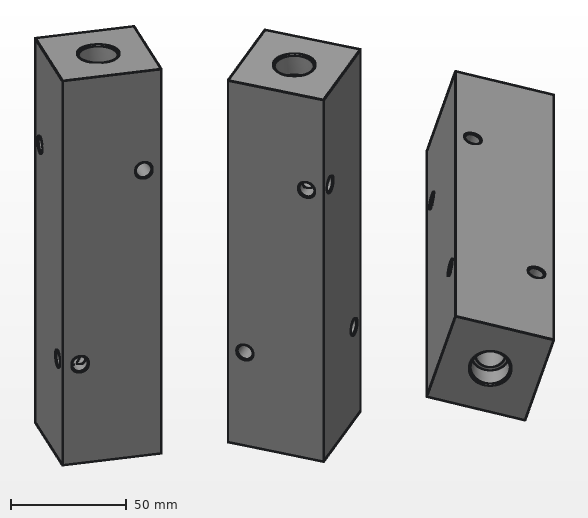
import cadquery as cq

LENGTH = 184.2
WIDTH = 44.4
EDGE_BREAK = 0.2

BORE_DIAMETER = 12.9
PORT_MOUTH_DIAMETER = 17.0
PORT_DEPTH = 10.1
PORT_TAPER = 1 / 16
PORT_CHAMFER = 0.7

HOLE_DIAMETER = 7.0
HOLE_CHAMFER = 0.46
HOLE_EDGE_DISTANCE = 8.0
HOLE_OFFSET = WIDTH / 2 - HOLE_EDGE_DISTANCE
HOLE_HEIGHT = 44.5


def turned(profile):
    """Solid of revolution about Z from a closed (radius, height) profile."""
    return cq.Workplane("XZ").polyline(profile).close().revolve(360, (0, 0), (0, 1))


def port_cutter():
    """Tapered port at the top end of the block, chamfered at its mouth."""
    top = LENGTH / 2
    floor = top - PORT_DEPTH
    mouth_radius = PORT_MOUTH_DIAMETER / 2
    throat_radius = mouth_radius - (PORT_DEPTH - PORT_CHAMFER) * PORT_TAPER / 2
    return turned([
        (0, floor),
        (throat_radius, floor),
        (mouth_radius, top - PORT_CHAMFER),
        (mouth_radius + PORT_CHAMFER, top),
        (0, top),
    ])


def cross_hole_cutter():
    """Hole along Z through the block's width, chamfered at both mouths."""
    radius = HOLE_DIAMETER / 2
    half_width = WIDTH / 2
    return turned([
        (0, -half_width),
        (radius + HOLE_CHAMFER, -half_width),
        (radius, -half_width + HOLE_CHAMFER),
        (radius, half_width - HOLE_CHAMFER),
        (radius + HOLE_CHAMFER, half_width),
        (0, half_width),
    ])


result = cq.Workplane("XY").box(WIDTH, WIDTH, LENGTH).edges().chamfer(EDGE_BREAK)

bore = cq.Workplane("XY").circle(BORE_DIAMETER / 2).extrude(LENGTH / 2, both=True)
top_port = port_cutter()
bottom_port = top_port.mirror("XY")
for cutter in (bore, top_port, bottom_port):
    result = result.cut(cutter)

hole_along_x = cross_hole_cutter().rotate((0, 0, 0), (0, 1, 0), 90)
hole_along_y = cross_hole_cutter().rotate((0, 0, 0), (1, 0, 0), 90)
for side in (1, -1):
    height = side * HOLE_HEIGHT
    result = result.cut(hole_along_x.translate((0, side * HOLE_OFFSET, height)))
    result = result.cut(hole_along_y.translate((-side * HOLE_OFFSET, 0, height)))